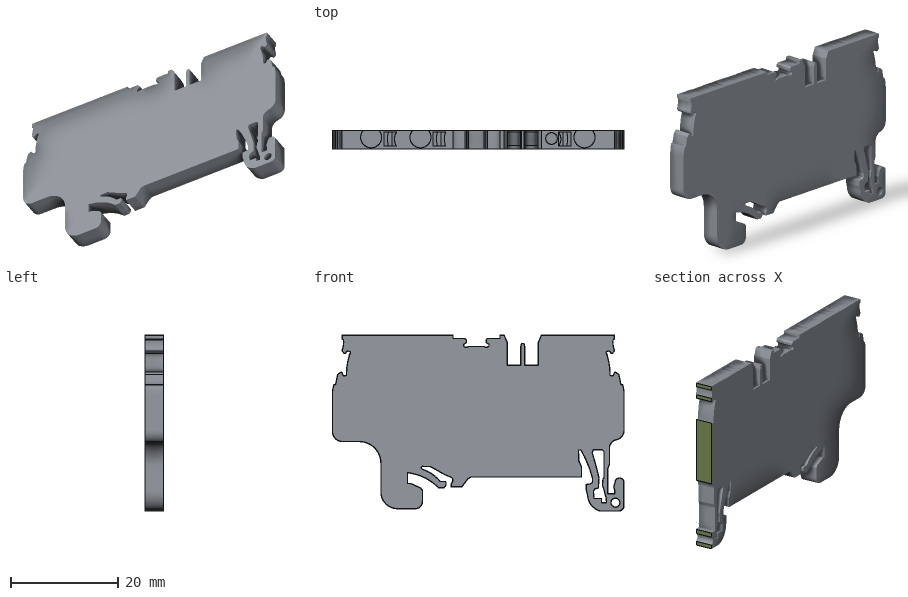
import cadquery as cq

LENGTH = 54.4
THICKNESS = 3.5
HEIGHT = 32.8
HALF_LENGTH = LENGTH / 2
HALF_THICKNESS = THICKNESS / 2

SHOULDER_Z = 12.95
UNDERSIDE_Z = 6.35
LEG_BOTTOM_Z = 0.45
STEP_Z = HEIGHT - 0.6
SLOT_FLOOR_Z = 27.2
SLOT_CHAMFER_Z = 31.4

END_TOP_X = -25.35

LEG_LEFT_X = -18.15
TOE_RIGHT_X = -10.4
SHOULDER_RADIUS = 1.95
LEG_ROOT_RADIUS = 3.95
LEG_HEEL_RADIUS = 3.15
LEG_TOE_RADIUS = 1.35

FOOT_RIGHT_X = 27.15
FOOT_HOLE_X = 25.55
FOOT_HOLE_Z = 1.6
FOOT_HOLE_RADIUS = 0.8

SLOT_LEFT_X = 5.45
SLOT_RIGHT_X = 11.15
FIN_LEFT_X = 7.9
FIN_RIGHT_X = 8.7

RECESS_DEPTH = 0.05
WELL_RADIUS = 1.95
WELL_Y = 0.45
WELL_XS = (-19.95, -10.75, 19.8)
TEST_HOLE_X = 13.65
TEST_HOLE_Y = 0.2
TEST_HOLE_RADIUS = 1.1
WINDOW_LENGTH = 2.35
WINDOW_WIDTH = 2.6
WINDOW_Y = 0.1
WINDOW_DEPTH = 0.1
WINDOW_BAR_HEIGHT = 0.05
WINDOW_BAR_BULGE = 0.15
WINDOW_BAR_START = 0.8
WINDOW_BAR_END = 1.45
CLAMP_WINDOWS = (
    (-17.55, 1, 0.4, WINDOW_DEPTH),
    (-8.45, 1, 0.2, WINDOW_DEPTH),
    (17.3, -1, 0.45, WINDOW_BAR_HEIGHT),
)
SLOT_RECESS_WIDTH = 2.45
SLOT_RECESS_Y = 0.15

MARKER_GROOVE = [
    (-4.7, HEIGHT), (-4.7, STEP_Z), (-2.5, STEP_Z), (-2.2, 31.9), (-2.2, 31.45),
    (-2.65, 31.05), (-2.65, 30.75), (-2.5, 30.6), (-2.1, 30.6), (-1.8, 30.75),
    (1.05, 30.75), (1.4, 30.6), (1.75, 30.6), (1.95, 30.8), (1.95, 31.1),
    (1.45, 31.4), (1.45, 31.95), (1.75, STEP_Z), (4.0, STEP_Z), (4.0, HEIGHT),
]
BRIDGE_SLOTS = [
    (4.85, HEIGHT), (SLOT_LEFT_X, SLOT_CHAMFER_Z), (SLOT_LEFT_X, SLOT_FLOOR_Z),
    (FIN_LEFT_X, SLOT_FLOOR_Z), (FIN_LEFT_X, 30.6), (8.05, 31.3),
    (8.55, 31.3), (FIN_RIGHT_X, 30.6), (FIN_RIGHT_X, SLOT_FLOOR_Z),
    (SLOT_RIGHT_X, SLOT_FLOOR_Z), (SLOT_RIGHT_X, SLOT_CHAMFER_Z), (11.75, HEIGHT),
]


def line_through(path, points):
    """Extend the path with straight lines through the points."""
    for x, z in points:
        path = path.lineTo(x, z)
    return path


def add_hook_leg(path):
    """Left leg with its hook, the flexible latch arm and the lug beside it."""
    path = line_through(path, [
        (-HALF_LENGTH, SHOULDER_Z), (LEG_LEFT_X, SHOULDER_Z), (LEG_LEFT_X, LEG_BOTTOM_Z),
        (TOE_RIGHT_X, LEG_BOTTOM_Z), (TOE_RIGHT_X, 3.9), (-10.75, 4.35),
        (-12.55, 5.15), (-13.15, 5.15), (-13.15, 7.2), (-12.7, 7.05),
    ])
    path = path.threePointArc((-9.75, 6.1), (-7.4, 4.35))
    path = line_through(path, [
        (-6.35, 4.35), (-6.0, 4.85), (-6.0, 5.4), (-6.2, 5.55), (-7.05, 5.55),
    ])
    path = path.threePointArc((-8.65, 6.95), (-10.4, 7.85))
    path = path.threePointArc((-10.6, 8.1), (-10.3, 8.3))
    return line_through(path, [
        (-9.1, 8.3), (-8.25, 7.95), (-6.25, 6.8), (-4.95, 6.25), (-4.8, 6.05),
        (-4.8, 5.55), (-5.05, 5.05), (-5.05, 4.5), (-3.05, 4.5), (-1.95, 6.0),
        (-1.35, UNDERSIDE_Z),
    ])


def add_spring_foot(path):
    """Right foot hanging on its spring strips, up to the right side of the body."""
    path = line_through(path, [
        (19.25, UNDERSIDE_Z), (19.25, 8.25), (18.75, 9.35), (18.7, 11.35), (19.15, 11.35),
    ])
    path = path.threePointArc((20.55, 8.4), (21.25, 6.2))
    path = line_through(path, [(21.25, 5.4), (20.95, 5.1), (20.15, 5.0), (20.15, 3.9)])
    path = path.lineTo(20.35, 3.05)
    path = path.threePointArc((21.0, 1.2), (22.75, 0))
    path = path.lineTo(26.15, 0)
    path = path.threePointArc((26.8, 0.25), (FOOT_RIGHT_X, 0.75))
    path = path.lineTo(FOOT_RIGHT_X, 5.4)
    path = path.threePointArc((26.35, 6.2), (25.5, 5.5))
    path = line_through(path, [
        (25.25, 4.5), (25.4, 3.9), (25.4, 3.25), (24.15, 3.25), (24.15, 7.95),
        (24.5, 8.7), (24.5, 11.95),
    ])
    path = path.threePointArc((24.9, 12.85), (25.9, 13.35))
    return path.threePointArc((26.8, 14.0), (HALF_LENGTH, 15.05))


def make_body():
    """Extruded outline with its large corners rounded."""
    path = cq.Workplane("XZ").moveTo(-HALF_LENGTH, HEIGHT)
    path = add_hook_leg(path)
    path = add_spring_foot(path)
    path = path.lineTo(HALF_LENGTH, HEIGHT)
    path = line_through(path, reversed(MARKER_GROOVE + BRIDGE_SLOTS))
    body = path.close().extrude(HALF_THICKNESS, both=True)

    rounded_corners = [
        (-HALF_LENGTH, SHOULDER_Z, SHOULDER_RADIUS),
        (LEG_LEFT_X, SHOULDER_Z, LEG_ROOT_RADIUS),
        (LEG_LEFT_X, LEG_BOTTOM_Z, LEG_HEEL_RADIUS),
        (TOE_RIGHT_X, LEG_BOTTOM_Z, LEG_TOE_RADIUS),
    ]
    for x, z, radius in rounded_corners:
        body = body.edges(cq.NearestToPointSelector((x, 0, z))).fillet(radius)
    return body


def make_end_notches():
    """Material removed at both upper ends, leaving their latching steps."""
    path = cq.Workplane("XZ").moveTo(-HALF_LENGTH, HEIGHT)
    path = line_through(path, [(END_TOP_X, HEIGHT), (END_TOP_X, 32.05), (-25.15, 31.95)])
    path = path.threePointArc((-25.15, 31.05), (-25.35, 30.15))
    path = line_through(path, [(-25.35, 29.8), (-25.0, 29.45), (-24.7, 29.45), (-24.55, 29.7)])
    path = path.threePointArc((-24.1, 29.8), (-23.8, 29.5))
    path = path.lineTo(-24.05, 29.1)
    path = path.threePointArc((-24.4, 27.4), (-24.6, 25.3))
    path = path.lineTo(-25.15, 25.25)
    path = path.lineTo(-25.3, 25.55)
    path = path.threePointArc((-25.5, 25.9), (-25.8, 25.8))
    path = line_through(path, [(-26.2, 25.45), (-26.6, 23.6), (-26.95, 23.55)])
    path = path.threePointArc((-27.15, 22.65), (-HALF_LENGTH, 21.65))
    left_notch = path.close().extrude(HALF_THICKNESS, both=True)
    return left_notch.union(left_notch.mirror("YZ"))


def make_foot_openings():
    """Closed slot between the spring strips and the round hole in the foot."""
    path = cq.Workplane("XZ").moveTo(21.45, 11.4)
    path = line_through(path, [
        (23.1, 11.4), (23.4, 11.15), (23.4, 6.2), (23.25, 6.05), (23.1, 4.9),
        (23.4, 4.0), (23.8, 2.45), (23.9, 1.6), (23.0, 1.6), (23.0, 2.4),
        (21.6, 2.4), (21.5, 3.75), (21.75, 4.15), (22.4, 4.3), (22.5, 6.2),
    ])
    path = path.threePointArc((22.0, 8.4), (21.25, 10.9))
    slot = path.close().extrude(HALF_THICKNESS, both=True)
    hole = (
        cq.Workplane("XZ")
        .center(FOOT_HOLE_X, FOOT_HOLE_Z)
        .circle(FOOT_HOLE_RADIUS)
        .extrude(HALF_THICKNESS, both=True)
    )
    return slot.union(hole)


def make_round_recess(x, y, radius):
    """Shallow round recess in the top face."""
    return cq.Workplane("XY", origin=(x, y, HEIGHT)).circle(radius).extrude(-RECESS_DEPTH)


def make_clamp_window(outer_x, inward, end_bulge, end_height):
    """Shallow clamp window, running from outer_x in the direction inward (+1 or -1).

    A low bar with one bulged side crosses the window. A raised segment of the given
    height bulges into the window from its inner end by end_bulge.
    """
    half_width = WINDOW_WIDTH / 2
    top = cq.Workplane("XY", origin=(outer_x, WINDOW_Y, HEIGHT))
    floor = top.workplane(offset=-WINDOW_DEPTH)
    bar_start = inward * WINDOW_BAR_START
    bar_end = inward * WINDOW_BAR_END
    inner_end = inward * WINDOW_LENGTH

    window = top.center(inner_end / 2, 0).rect(WINDOW_LENGTH, WINDOW_WIDTH).extrude(-WINDOW_DEPTH)
    bar = (
        floor.moveTo(bar_end, -half_width)
        .lineTo(bar_start, -half_width)
        .threePointArc((bar_start - inward * WINDOW_BAR_BULGE, 0), (bar_start, half_width))
        .lineTo(bar_end, half_width)
        .close()
        .extrude(WINDOW_BAR_HEIGHT)
    )
    end_segment = (
        floor.moveTo(inner_end, -half_width)
        .threePointArc((inner_end - inward * end_bulge, 0), (inner_end, half_width))
        .close()
        .extrude(end_height)
    )
    return window.cut(bar).cut(end_segment)


def make_slot_recess(left_x, right_x):
    """Shallow recess along the floor of a bridge slot, leaving a rim on both Y sides."""
    return (
        cq.Workplane("XY", origin=((left_x + right_x) / 2, SLOT_RECESS_Y, SLOT_FLOOR_Z))
        .rect(right_x - left_x, SLOT_RECESS_WIDTH)
        .extrude(-RECESS_DEPTH)
    )


result = make_body().cut(make_end_notches()).cut(make_foot_openings())

for well_x in WELL_XS:
    result = result.cut(make_round_recess(well_x, WELL_Y, WELL_RADIUS))
result = result.cut(make_round_recess(TEST_HOLE_X, TEST_HOLE_Y, TEST_HOLE_RADIUS))

for window in CLAMP_WINDOWS:
    result = result.cut(make_clamp_window(*window))

for slot_edges in ((SLOT_LEFT_X, FIN_LEFT_X), (FIN_RIGHT_X, SLOT_RIGHT_X)):
    result = result.cut(make_slot_recess(*slot_edges))